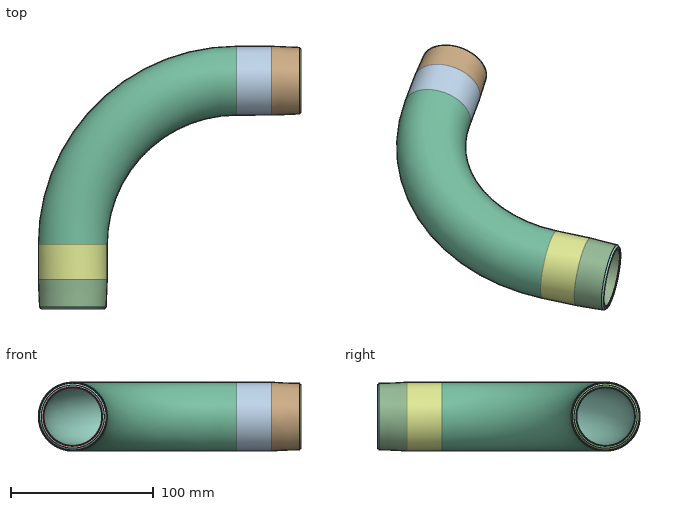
import cadquery as cq

overall_length = 184.2
outer_diameter = 48.5
bore_diameter = 40.5
straight_length = 24.5
taper_length = 20.8
taper_end_diameter = 46.8
outer_chamfer = 1.3
bore_chamfer = 0.5

outer_radius = outer_diameter / 2
taper_end_radius = taper_end_diameter / 2
bore_radius = bore_diameter / 2
leg_length = straight_length + taper_length
bend_radius = overall_length - outer_radius - leg_length


def make_bend():
    """Quarter-circle tube from the XZ plane, turning from +Y towards +X."""
    return (
        cq.Workplane("XZ")
        .circle(outer_radius)
        .circle(bore_radius)
        .revolve(90, (bend_radius, 0), (bend_radius, -1))
    )


def make_inlet_leg():
    """Hollow leg running from the bend down the -Y axis."""
    return (
        cq.Workplane("XY")
        .moveTo(bore_radius, 0)
        .lineTo(outer_radius, 0)
        .lineTo(outer_radius, -straight_length)
        .lineTo(taper_end_radius, outer_chamfer - leg_length)
        .lineTo(taper_end_radius - outer_chamfer, -leg_length)
        .lineTo(bore_radius + bore_chamfer, -leg_length)
        .lineTo(bore_radius, bore_chamfer - leg_length)
        .close()
        .revolve(360, (0, 0), (0, 1))
    )


def make_outlet_leg():
    """The same leg turned to run along +X from the far end of the bend."""
    return (
        make_inlet_leg()
        .rotate((0, 0, 0), (0, 0, 1), 90)
        .translate((bend_radius, bend_radius, 0))
    )


result = make_bend().union(make_inlet_leg()).union(make_outlet_leg())